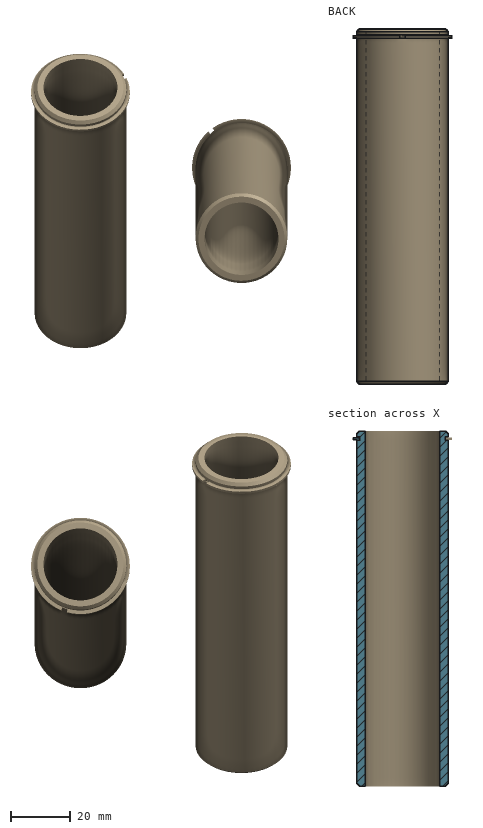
import cadquery as cq

LENGTH = 120.0
TUBE_DIAMETER = 31.0
BORE_DIAMETER = 25.0
CHAMFER = 1.0

RING_DIAMETER = 33.4
RING_THICKNESS = 0.8
GROOVE_WIDTH = 1.1
GROOVE_TOP_OFFSET = 2.0
GROOVE_DEPTH = 1.0
RING_GAP = 1.9

ring_base = LENGTH - GROOVE_TOP_OFFSET - GROOVE_WIDTH
seat_diameter = TUBE_DIAMETER - 2 * GROOVE_DEPTH


def annulus(outer_diameter, inner_diameter, base, height):
    """Flat-ended sleeve centred on the Z axis."""
    return (
        cq.Workplane("XY")
        .workplane(offset=base)
        .circle(outer_diameter / 2)
        .circle(inner_diameter / 2)
        .extrude(height)
    )


def make_tube():
    """Tube with chamfered outer end edges and a groove near its top."""
    body = cq.Workplane("XY").circle(TUBE_DIAMETER / 2).extrude(LENGTH)
    body = body.faces("<Z or >Z").edges().chamfer(CHAMFER)
    bore = cq.Workplane("XY").circle(BORE_DIAMETER / 2).extrude(LENGTH)
    groove = annulus(RING_DIAMETER, seat_diameter, ring_base, GROOVE_WIDTH)
    return body.cut(bore).cut(groove)


def make_ring():
    """Retaining ring resting on the lower wall of the slightly wider groove, split on its +Y side."""
    ring = annulus(RING_DIAMETER, seat_diameter, ring_base, RING_THICKNESS)
    gap = (
        cq.Workplane("XY")
        .workplane(offset=ring_base)
        .center(0, RING_DIAMETER / 4)
        .rect(RING_GAP, RING_DIAMETER / 2)
        .extrude(RING_THICKNESS)
    )
    return ring.cut(gap)


tube = make_tube()
retaining_ring = make_ring()

result = cq.Compound.makeCompound([tube.val(), retaining_ring.val()])